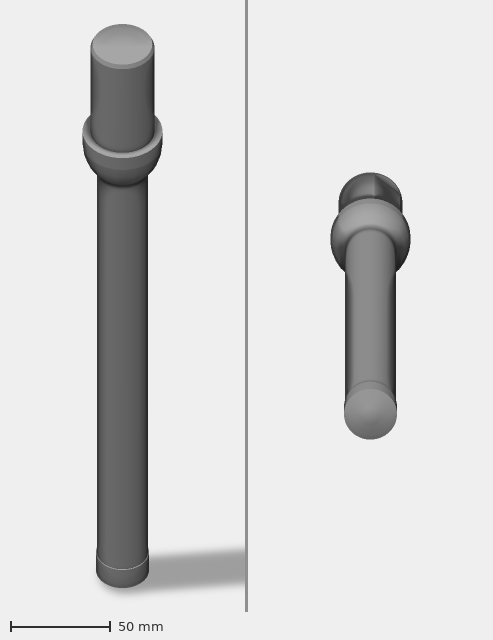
import cadquery as cq
import math

total_length = 364
tip_shoulder_z = 4.0
tip_top_z = 16.5
flare_z = 280.3
collar_bottom_z = 296.5
collar_top_z = 304.5

stem_radius = 25.5 / 2
tip_radius = 26.5 / 2
shank_radius = 32.0 / 2
collar_radius = 40.0 / 2
bulge_arc_radius = 25.0

shank_chamfer_width = 1.0
shank_chamfer_height = 2.2
flat_depth = 2.2
flat_end_margin = 3.5

bulge_height = collar_bottom_z - flare_z
bulge_angle = math.asin(bulge_height / bulge_arc_radius)
flare_radius = collar_radius - bulge_arc_radius * (1 - math.cos(bulge_angle))

fillet_radius = (flare_radius - stem_radius) / (1 - math.cos(bulge_angle))
fillet_bottom_z = flare_z - fillet_radius * math.sin(bulge_angle)


def make_bit_body():
    """Stem, flared collar and shank, turned about Z."""
    half_angle = bulge_angle / 2
    bulge_mid = (
        collar_radius - bulge_arc_radius * (1 - math.cos(half_angle)),
        collar_bottom_z - bulge_arc_radius * math.sin(half_angle),
    )
    fillet_mid = (
        stem_radius + fillet_radius * (1 - math.cos(half_angle)),
        fillet_bottom_z + fillet_radius * math.sin(half_angle),
    )
    return (
        cq.Workplane("XZ")
        .moveTo(0, tip_top_z)
        .lineTo(stem_radius, tip_top_z)
        .lineTo(stem_radius, fillet_bottom_z)
        .threePointArc(fillet_mid, (flare_radius, flare_z))
        .threePointArc(bulge_mid, (collar_radius, collar_bottom_z))
        .lineTo(collar_radius, collar_top_z)
        .lineTo(shank_radius, collar_top_z)
        .lineTo(shank_radius, total_length - shank_chamfer_height)
        .lineTo(shank_radius - shank_chamfer_width, total_length)
        .lineTo(0, total_length)
        .close()
        .revolve(360, (0, 0, 0), (0, 1, 0))
    )


def make_flat_cutter():
    """Prism that cuts the +Y flat, with 45 degree run-outs at both ends."""
    flat_y = shank_radius - flat_depth
    bottom_z = collar_top_z + flat_end_margin
    top_z = total_length - flat_end_margin
    return (
        cq.Workplane("YZ")
        .moveTo(shank_radius, bottom_z)
        .lineTo(flat_y, bottom_z + flat_depth)
        .lineTo(flat_y, top_z - flat_depth)
        .lineTo(shank_radius, top_z)
        .close()
        .extrude(shank_radius, both=True)
    )


def make_tip():
    """Cylindrical tip with a shallow conical point."""
    return (
        cq.Workplane("XZ")
        .lineTo(tip_radius, tip_shoulder_z)
        .lineTo(tip_radius, tip_top_z)
        .lineTo(0, tip_top_z)
        .close()
        .revolve(360, (0, 0, 0), (0, 1, 0))
    )


bit_body = make_bit_body().cut(make_flat_cutter())
tip = make_tip()

result = cq.Compound.makeCompound([bit_body.val(), tip.val()])